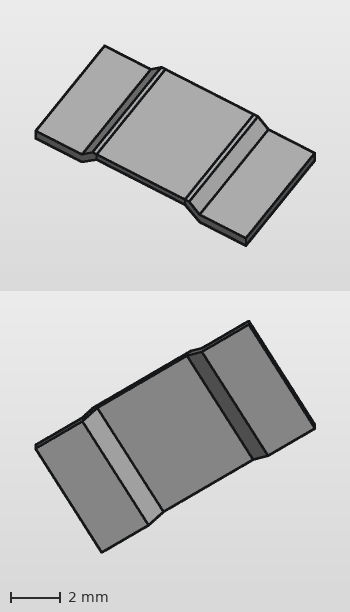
import cadquery as cq

length = 10.0
width = 5.1
height = 1.0

element_length = 4.2
element_thickness = 0.35

foot_length = 2.2
foot_thickness = 0.5
shoulder_length = 0.2

half_length = length / 2
half_element = element_length / 2
element_bottom = height - element_thickness
foot_inner_x = half_length - foot_length


def make_element():
    """Thin flat plate held between the two terminals."""
    return (
        cq.Workplane("XY")
        .box(element_length, width, element_thickness, centered=(True, True, False))
        .translate((0, 0, element_bottom))
    )


def make_terminal(side):
    """Flat foot with a sloped riser; side is -1 for the -X end and +1 for the +X end."""
    profile = [
        (half_length, 0),
        (foot_inner_x, 0),
        (half_element, element_bottom),
        (half_element, height),
        (half_element + shoulder_length, height),
        (foot_inner_x, foot_thickness),
        (half_length, foot_thickness),
    ]
    return (
        cq.Workplane("XZ")
        .polyline([(side * x, z) for x, z in profile])
        .close()
        .extrude(width / 2, both=True)
    )


element = make_element()
terminals = [make_terminal(side) for side in (-1, 1)]

result = cq.Compound.makeCompound([element.val(), *[terminal.val() for terminal in terminals]])